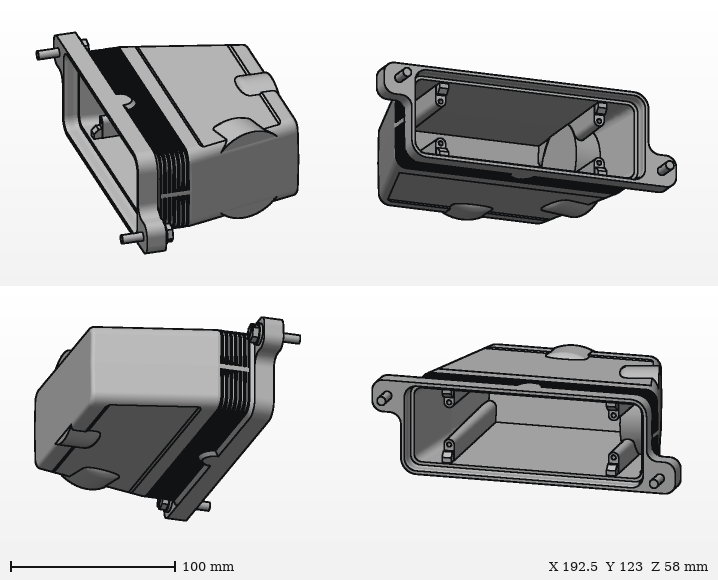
import cadquery as cq
import math


FLANGE_HALF_X = 78.0
FLANGE_HALF_Z = 29.0
FLANGE_RADIUS = 10.0
FLANGE_THICKNESS = 12.3
EAR_TIP_X = 96.25
EAR_HEIGHT = 20.0
EAR_RADIUS = 7.0

SHOULDER_CHAMFER = 2.55
BODY_HALF_X = FLANGE_HALF_X - SHOULDER_CHAMFER
BODY_HALF_Z = FLANGE_HALF_Z - SHOULDER_CHAMFER
BODY_CORNER_RADIUS = FLANGE_RADIUS - SHOULDER_CHAMFER
BODY_BASE_Y = 3.0
TAPER_START_Y = 35.0
ROOF_Y = 109.8
SIDE_ANGLE = 15.0
SIDE_SLOPE = math.tan(math.radians(SIDE_ANGLE))
ROOF_HALF_X = BODY_HALF_X - (ROOF_Y - TAPER_START_Y) * SIDE_SLOPE
MOULD_DRAFT = 1.0
ROOF_FILLET = 3.0

FLAT_DEPTH = 0.6
FLAT_START_Y = 43.0
FLAT_END_Y = 99.1
FLAT_RAMP = 1.7

GROOVE_COUNT = 7
GROOVE_PITCH = 2.9
FIRST_GROOVE_Y = 15.0
GROOVE_WIDTH = 1.8
GROOVE_FLOOR = 0.6
GROOVE_DEPTH = 0.7
GROOVE_BAR_WIDTH = 4.0

LUG_RADIUS = 7.55

BOSS_RADIUS = FLANGE_HALF_Z
BOSS_END_FILLET = 5.5
BOSS_SETBACK = 0.6
TOP_BOSS_LENGTH = 22.3
SIDE_BOSS_CENTRE_Y = 75.0
SIDE_BOSS_LENGTH = 24.6
PAD_RADIUS = 26.0
PAD_FRONT_X = 49.0
PAD_ROOF_X = 47.0

SEAL_RIM = 2.2
SEAL_STEP = 0.7
SEAL_LEAD_IN_Y = 2.4
SEAL_STRAIGHT_Y = 6.2
SEAL_FLOOR_Y = 9.0
CAVITY_HALF_X = 72.2
CAVITY_HALF_Z = 23.4
CAVITY_BEND_Y = 62.0
CAVITY_BEND_HALF_X = 64.1
CAVITY_BEND_HALF_Z = 22.4
CAVITY_ROOF_Y = 106.0
CAVITY_ROOF_HALF_X = 52.4
CAVITY_ROOF_HALF_Z = 21.6
CAVITY_MOUTH_RADIUS = 5.0
CAVITY_RADIUS = 5.8
CAVITY_CROWN_ANGLE = 10.0
CAVITY_CROWN = CAVITY_ROOF_HALF_Z * math.tan(math.radians(CAVITY_CROWN_ANGLE))

POST_X = 52.2
POST_Z = 13.3
POST_RADIUS = 3.2
POST_FACE_Y = 16.6
POST_DRAFT = 0.8
POST_HOLE_DIAMETER = 2.8
POST_HOLE_DEPTH = 10.0
TONGUE_WIDTH = 5.8
TONGUE_TIP_Y = 11.2
TONGUE_RAMP_Y = 14.1
TONGUE_ROOT_Z = 17.2
TONGUE_TIP_Z = 20.2

SCREW_X = 86.5
SCREW_Z = 19.4
SCREW_RADIUS = 2.7
SCREW_PROTRUSION = 13.2
WASHER_RADIUS = 6.75
WASHER_THICKNESS = 1.8
HEAD_ACROSS_FLATS = 10.0
HEAD_HEIGHT = 4.0
HEAD_TURN = -45.0
SLOT_WIDTH = 1.4
SLOT_DEPTH = 2.0


def plane_at(y, x=0.0, z=0.0):
    """Workplane facing +Y, with local x along X and local y along -Z."""
    return cq.Workplane(cq.Plane(origin=(x, y, z), xDir=(1, 0, 0), normal=(0, 1, 0)))


def rounded_frustum(half_x, half_z, radius, y_start, y_end, inset):
    """Rounded rectangle running along Y whose walls move inward by inset."""
    length = y_end - y_start
    angle = math.degrees(math.atan2(inset, length))
    outline = cq.Sketch().rect(2 * half_x, 2 * half_z).vertices().fillet(radius)
    return plane_at(y_start).placeSketch(outline).extrude(length, taper=angle)


def both_ways(shape):
    """The shape together with its copy turned half a turn about Y."""
    return shape.union(shape.rotate((0, 0, 0), (0, 1, 0), 180))


def make_flange():
    main = rounded_frustum(FLANGE_HALF_X, FLANGE_HALF_Z, FLANGE_RADIUS, 0, FLANGE_THICKNESS, 0)
    inner_x = FLANGE_HALF_X - FLANGE_RADIUS
    ear_bottom = FLANGE_HALF_Z - EAR_HEIGHT
    ear = (
        cq.Workplane("XZ")
        .moveTo(-inner_x, FLANGE_HALF_Z)
        .lineTo(-EAR_TIP_X + EAR_RADIUS, FLANGE_HALF_Z)
        .radiusArc((-EAR_TIP_X, FLANGE_HALF_Z - EAR_RADIUS), -EAR_RADIUS)
        .lineTo(-EAR_TIP_X, ear_bottom + EAR_RADIUS)
        .radiusArc((-EAR_TIP_X + EAR_RADIUS, ear_bottom), -EAR_RADIUS)
        .lineTo(-FLANGE_HALF_X - EAR_RADIUS, ear_bottom)
        .radiusArc((-FLANGE_HALF_X, ear_bottom - EAR_RADIUS), EAR_RADIUS)
        .lineTo(-inner_x, ear_bottom - EAR_RADIUS)
        .close()
        .extrude(-FLANGE_THICKNESS)
    )
    shoulder = rounded_frustum(
        FLANGE_HALF_X, FLANGE_HALF_Z, FLANGE_RADIUS,
        FLANGE_THICKNESS, FLANGE_THICKNESS + SHOULDER_CHAMFER, SHOULDER_CHAMFER,
    )
    return main.union(both_ways(ear)).union(shoulder)


def make_body():
    """Trapezoid hood, drafted both ways from the Z = 0 parting plane."""
    outline = [
        (-BODY_HALF_X, BODY_BASE_Y),
        (BODY_HALF_X, BODY_BASE_Y),
        (BODY_HALF_X, TAPER_START_Y),
        (ROOF_HALF_X, ROOF_Y),
        (-ROOF_HALF_X, ROOF_Y),
        (-BODY_HALF_X, TAPER_START_Y),
    ]
    half = cq.Workplane("XY").polyline(outline).close().extrude(BODY_HALF_Z, taper=MOULD_DRAFT)
    half = half.faces(">Z").edges("not |X").fillet(BODY_CORNER_RADIUS)
    roof_rim = cq.selectors.BoxSelector(
        (-BODY_HALF_X, ROOF_Y - ROOF_FILLET, ROOF_FILLET), (BODY_HALF_X, ROOF_Y, FLANGE_HALF_Z)
    )
    half = half.edges(roof_rim).fillet(ROOF_FILLET)
    return half.union(half.mirror("XY"))


def make_flat_cutter():
    """Slab with ramped ends that planes off the middle of the +Z broad face."""
    floor_z = BODY_HALF_Z - FLAT_DEPTH
    profile = [
        (FLAT_START_Y, BODY_HALF_Z),
        (FLAT_START_Y + FLAT_RAMP, floor_z),
        (FLAT_END_Y - FLAT_RAMP, floor_z),
        (FLAT_END_Y, BODY_HALF_Z),
    ]
    return cq.Workplane("YZ").polyline(profile).close().extrude(BODY_HALF_X, both=True)


def make_groove_cutter(y):
    """Ring with sloped flanks, interrupted by a bar on each narrow end."""
    flank = (GROOVE_WIDTH - GROOVE_FLOOR) / 2
    bottom = y - GROOVE_WIDTH / 2
    lower = rounded_frustum(
        BODY_HALF_X, BODY_HALF_Z, BODY_CORNER_RADIUS, bottom, bottom + flank, GROOVE_DEPTH
    )
    upper = lower.mirror("XZ", (0, y, 0))
    floor = rounded_frustum(
        BODY_HALF_X - GROOVE_DEPTH, BODY_HALF_Z - GROOVE_DEPTH, BODY_CORNER_RADIUS - GROOVE_DEPTH,
        bottom + flank, bottom + flank + GROOVE_FLOOR, 0,
    )
    ring = cq.Workplane("XY").box(2 * FLANGE_HALF_X, GROOVE_WIDTH, 2 * FLANGE_HALF_Z)
    bar = cq.Workplane("XY").box(2 * FLANGE_HALF_X, 2 * GROOVE_WIDTH, GROOVE_BAR_WIDTH)
    ring = ring.cut(bar).translate((0, y, 0))
    return ring.cut(lower).cut(upper).cut(floor)


def make_lug():
    """Half-round conical lug on the +Z side, flush with the flange."""
    foot_radius = LUG_RADIUS + SHOULDER_CHAMFER
    cone = cq.Solid.makeCone(
        foot_radius, LUG_RADIUS, SHOULDER_CHAMFER,
        pnt=cq.Vector(0, FLANGE_THICKNESS, BODY_HALF_Z), dir=cq.Vector(0, 0, 1),
    )
    upper_half = cq.Workplane("XY").box(
        2 * foot_radius, foot_radius, 2 * FLANGE_HALF_Z, centered=(True, False, True)
    )
    stem_depth = 2 * GROOVE_DEPTH
    stem = (
        cq.Workplane("XY", origin=(0, FLANGE_THICKNESS, BODY_HALF_Z - stem_depth))
        .circle(foot_radius)
        .extrude(stem_depth)
    )
    return cq.Workplane(cone).union(stem).intersect(upper_half.translate((0, FLANGE_THICKNESS, 0)))


def make_boss(length):
    """Boss lying along Y with its outer end at the origin and a rounded inner end."""
    return plane_at(-length).circle(BOSS_RADIUS).extrude(length).faces("<Y").edges().fillet(BOSS_END_FILLET)


def side_axis(shape):
    """Turn a shape on the Y axis into the axis of the sloped side entry."""
    side_x = BODY_HALF_X - (SIDE_BOSS_CENTRE_Y - TAPER_START_Y) * SIDE_SLOPE
    turned = shape.rotate((0, 0, 0), (0, 0, 1), SIDE_ANGLE - 90)
    return turned.translate((side_x, SIDE_BOSS_CENTRE_Y, 0))


def make_cavity():
    def section(half_x, half_z, radius):
        return cq.Sketch().rect(2 * half_x, 2 * half_z).vertices().fillet(radius)

    def segment(start_y, start, end_y, end):
        lifted_end = end.moved(cq.Location(cq.Vector(0, 0, end_y - start_y)))
        return plane_at(start_y).placeSketch(start, lifted_end).loft(ruled=True)

    mouth = section(CAVITY_HALF_X, CAVITY_HALF_Z, CAVITY_MOUTH_RADIUS)
    bend = section(CAVITY_BEND_HALF_X, CAVITY_BEND_HALF_Z, CAVITY_RADIUS)
    roof = section(CAVITY_ROOF_HALF_X, CAVITY_ROOF_HALF_Z, CAVITY_RADIUS)
    crowned_roof = [
        (0, -FLANGE_HALF_Z),
        (0, FLANGE_HALF_Z),
        (CAVITY_ROOF_Y - CAVITY_CROWN, CAVITY_ROOF_HALF_Z),
        (CAVITY_ROOF_Y, 0),
        (CAVITY_ROOF_Y - CAVITY_CROWN, -CAVITY_ROOF_HALF_Z),
    ]
    crown = cq.Workplane("YZ").polyline(crowned_roof).close().extrude(FLANGE_HALF_X, both=True)
    front = segment(SEAL_FLOOR_Y, mouth, CAVITY_BEND_Y, bend)
    rear = segment(CAVITY_BEND_Y, bend, CAVITY_ROOF_Y, roof)
    return front.union(rear).intersect(crown)


def make_seal_recess():
    """Stepped recess in the mating face: lead-in, straight wall and a second lead-in."""
    recess = cq.Workplane("XY")
    offset = SEAL_RIM
    steps = [
        (0, SEAL_LEAD_IN_Y, SEAL_STEP),
        (SEAL_LEAD_IN_Y, SEAL_STRAIGHT_Y, 0),
        (SEAL_STRAIGHT_Y, SEAL_FLOOR_Y, SEAL_STEP),
    ]
    for y_start, y_end, inset in steps:
        recess = recess.union(
            rounded_frustum(
                FLANGE_HALF_X - offset, FLANGE_HALF_Z - offset, FLANGE_RADIUS - offset,
                y_start, y_end, inset,
            )
        )
        offset += inset
    return recess


def make_pad():
    """Thickening inside the hood behind the side entry."""
    reach = 2 * PAD_RADIUS
    cylinder = side_axis(plane_at(-reach).circle(PAD_RADIUS).extrude(reach))
    limits = [
        (PAD_FRONT_X, SEAL_FLOOR_Y),
        (FLANGE_HALF_X, SEAL_FLOOR_Y),
        (FLANGE_HALF_X, ROOF_Y),
        (PAD_ROOF_X, ROOF_Y),
    ]
    return cylinder.intersect(
        cq.Workplane("XY").polyline(limits).close().extrude(FLANGE_HALF_Z, both=True)
    )


def make_post():
    """Fixing post at +X, +Z with a stepped tongue against the broad wall."""
    wall_z = BODY_HALF_Z
    post = (
        cq.Workplane("XZ", origin=(POST_X, POST_FACE_Y, 0))
        .moveTo(-POST_RADIUS, wall_z)
        .lineTo(-POST_RADIUS, POST_Z)
        .threePointArc((0, POST_Z - POST_RADIUS), (POST_RADIUS, POST_Z))
        .lineTo(POST_RADIUS, wall_z)
        .close()
        .extrude(POST_FACE_Y - ROOF_Y, taper=-POST_DRAFT)
    )
    tongue_profile = [
        (POST_FACE_Y, TONGUE_ROOT_Z),
        (TONGUE_RAMP_Y, TONGUE_ROOT_Z),
        (TONGUE_TIP_Y, TONGUE_TIP_Z),
        (TONGUE_TIP_Y, wall_z),
        (POST_FACE_Y, wall_z),
    ]
    tongue = (
        cq.Workplane("YZ", origin=(POST_X, 0, 0))
        .polyline(tongue_profile)
        .close()
        .extrude(TONGUE_WIDTH / 2, both=True)
    )
    hole = plane_at(POST_FACE_Y, POST_X, POST_Z).circle(POST_HOLE_DIAMETER / 2).extrude(POST_HOLE_DEPTH)
    return post.union(tongue).cut(hole)


def make_screw():
    """Slotted hexagon screw with washer, seated on the flange back face."""
    head_y = FLANGE_THICKNESS + WASHER_THICKNESS
    top_y = head_y + HEAD_HEIGHT
    corner_diameter = HEAD_ACROSS_FLATS * 2 / math.sqrt(3)
    shank = plane_at(-SCREW_PROTRUSION).circle(SCREW_RADIUS).extrude(SCREW_PROTRUSION + head_y)
    washer = plane_at(FLANGE_THICKNESS).circle(WASHER_RADIUS).extrude(WASHER_THICKNESS)
    head = plane_at(head_y).polygon(6, corner_diameter).extrude(HEAD_HEIGHT)
    slot = plane_at(top_y).rect(SLOT_WIDTH, 2 * corner_diameter).extrude(-SLOT_DEPTH)
    head = head.cut(slot).rotate((0, 0, 0), (0, 1, 0), HEAD_TURN)
    return shank.union(washer).union(head)


hood = make_body()
flat_cutter = make_flat_cutter()
hood = hood.cut(flat_cutter).cut(flat_cutter.mirror("XY"))
for index in range(GROOVE_COUNT):
    hood = hood.cut(make_groove_cutter(FIRST_GROOVE_Y + index * GROOVE_PITCH))
hood = hood.union(make_flange())
hood = hood.union(both_ways(make_lug()))
hood = hood.union(make_boss(TOP_BOSS_LENGTH).translate((0, ROOF_Y - BOSS_SETBACK, 0)))
side_boss = make_boss(SIDE_BOSS_LENGTH).translate((0, -BOSS_SETBACK, 0))
hood = hood.union(side_axis(side_boss))

cavity = make_cavity()
hood = hood.cut(cavity).cut(make_seal_recess())

inserts = make_pad()
post = make_post()
for side_post in (post, post.mirror("YZ")):
    inserts = inserts.union(side_post).union(side_post.mirror("XY"))
hood = hood.union(inserts.intersect(cavity))

screw = make_screw()
for side in (-1, 1):
    hood = hood.union(screw.translate((side * SCREW_X, 0, -side * SCREW_Z)))

result = hood